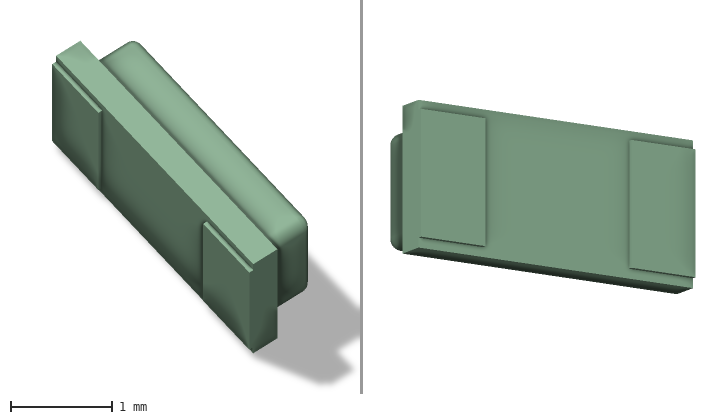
import cadquery as cq

BOARD_LENGTH = 3.2
BOARD_WIDTH = 1.5
BOARD_THICKNESS = 0.3

COVER_LENGTH = 2.88
COVER_WIDTH = 1.185
COVER_HEIGHT = 0.55
COVER_CORNER_RADIUS = 0.12
COVER_RIM_RADIUS = 0.1

PAD_LENGTH = 0.75
PAD_WIDTH = 1.3
PAD_THICKNESS = 0.048

BOARD_BACK = PAD_THICKNESS
BOARD_FRONT = BOARD_BACK + BOARD_THICKNESS


def make_block(length, thickness, width, center_x, start_y):
    """Box centred on Z = 0 that extends from start_y towards +Y."""
    return cq.Workplane("XY").box(length, thickness, width).translate(
        (center_x, start_y + thickness / 2, 0)
    )


def make_cover():
    """Block with rounded corners along Y and a rounded rim on its +Y face."""
    cover = make_block(COVER_LENGTH, COVER_HEIGHT, COVER_WIDTH, 0, BOARD_FRONT)
    cover = cover.edges("|Y").fillet(COVER_CORNER_RADIUS)
    return cover.faces(">Y").edges().fillet(COVER_RIM_RADIUS)


def make_housing():
    """Board and moulded cover as one solid."""
    board = make_block(BOARD_LENGTH, BOARD_THICKNESS, BOARD_WIDTH, 0, BOARD_BACK)
    return board.union(make_cover())


def make_pad(side):
    """Solder pad at the -X end (side = -1) or the +X end (side = 1)."""
    center_x = side * (BOARD_LENGTH - PAD_LENGTH) / 2
    return make_block(PAD_LENGTH, PAD_THICKNESS, PAD_WIDTH, center_x, 0)


housing = make_housing()
pads = [make_pad(side) for side in (-1, 1)]

result = cq.Compound.makeCompound([housing.val(), *[pad.val() for pad in pads]])